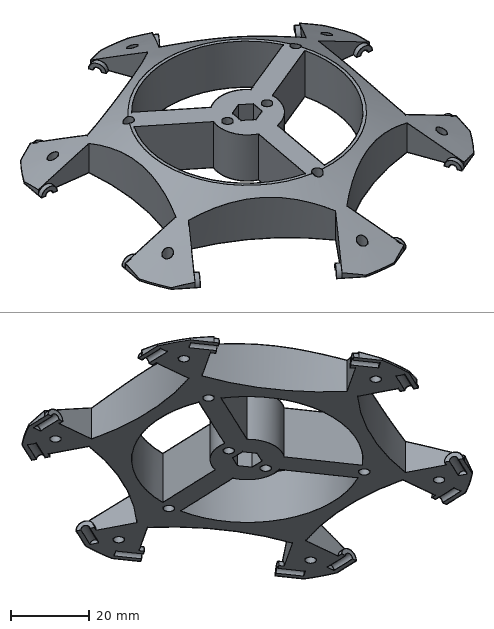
import cadquery as cq
import math

height = 15.0
rim_radius = 58.0
rim_height = 0.6
top_radius = 30.5
bore_radius = 29.6
hexagon_apothem = 52.3

wing_count = 6
notch_half_width = 18.9
notch_depth_radius = 33.6
notch_corner_distance = 36.3

hub_radius = 9.5
hex_bore_flats = 6.6
spoke_count = 3
spoke_width = 6.0

hole_diameter = 2.9
wing_hole_radius = 50.0
spoke_hole_radius = top_radius
hub_hole_offset = 6.3

tab_radius = 2.49
tab_bore_radius = 1.2
tab_bore_depth = 5.8
tab_thickness = 1.4
tab_distance = hexagon_apothem - tab_radius


def prism(apothem, depth):
    """Hexagonal prism standing on the base plane with flats facing +Y and -Y."""
    return cq.Workplane("XY").polygon(6, 2 * apothem / math.cos(math.pi / 6)).extrude(depth)


def rotated_copies(shape, count):
    """Copies of a shape evenly spaced about the Z axis."""
    pitch = 360 / count
    return [shape.rotate((0, 0, 0), (0, 0, 1), i * pitch) for i in range(count)]


def make_ring():
    cone = (
        cq.Workplane("XZ")
        .moveTo(bore_radius, 0)
        .lineTo(rim_radius, 0)
        .lineTo(rim_radius, rim_height)
        .lineTo(top_radius, height)
        .lineTo(bore_radius, height)
        .close()
        .revolve(360, (0, 0, 0), (0, 1, 0))
    )
    return cone.intersect(prism(hexagon_apothem, height))


def make_notch():
    """Cutter open toward +Y, with straight flanks and a bowed floor."""
    return (
        cq.Workplane("XY")
        .moveTo(-notch_half_width, rim_radius)
        .lineTo(-notch_half_width, notch_corner_distance)
        .threePointArc((0, notch_depth_radius), (notch_half_width, notch_corner_distance))
        .lineTo(notch_half_width, rim_radius)
        .close()
        .extrude(height)
    )


def make_spoke():
    length = (bore_radius + top_radius) / 2
    return cq.Workplane("XY").box(length, spoke_width, height, centered=(False, True, False))


def flank_cylinder(side, radius, start, end):
    """Upper half of a cylinder square to a flank of the notch facing +Y, with its axis on the base plane.

    start and end are distances from the flank, positive into the wing; side is -1 or 1.
    """
    return (
        cq.Workplane("YZ", origin=(side * (notch_half_width + start), 0, 0))
        .moveTo(tab_distance - radius, 0)
        .threePointArc((tab_distance, radius), (tab_distance + radius, 0))
        .close()
        .extrude(side * (end - start))
    )


def drill(points):
    return cq.Workplane("XY").pushPoints(points).circle(hole_diameter / 2).extrude(height)


def polar_points(radius, count):
    angles = [2 * math.pi * i / count for i in range(count)]
    return [(radius * math.cos(a), radius * math.sin(a)) for a in angles]


body = make_ring()
for notch in rotated_copies(make_notch(), wing_count):
    body = body.cut(notch)

body = body.union(cq.Workplane("XY").circle(hub_radius).extrude(height))
for spoke in rotated_copies(make_spoke(), spoke_count):
    body = body.union(spoke)

for side in (-1, 1):
    tab = flank_cylinder(side, tab_radius, -tab_thickness, 0)
    tab_bore = flank_cylinder(side, tab_bore_radius, -tab_thickness, tab_bore_depth)
    for tab_copy in rotated_copies(tab, wing_count):
        body = body.union(tab_copy)
    for bore_copy in rotated_copies(tab_bore, wing_count):
        body = body.cut(bore_copy)

body = body.cut(prism(hex_bore_flats / 2, height))
body = body.cut(drill(polar_points(wing_hole_radius, wing_count)))
body = body.cut(drill(polar_points(spoke_hole_radius, spoke_count)))
result = body.cut(drill([(0, hub_hole_offset), (0, -hub_hole_offset)]))